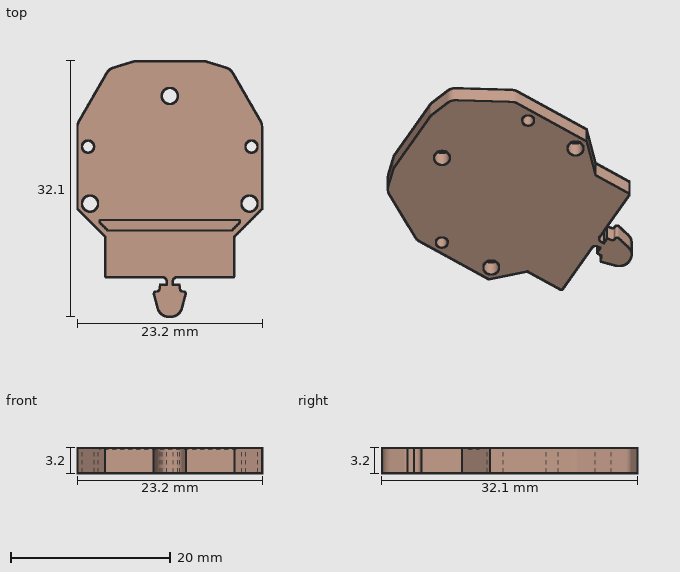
import cadquery as cq
import math

THICKNESS = 3.2
HALF_WIDTH = 11.6
PLATE_TOP = 27.13
TOP_HALF_WIDTH = 4.4
CROWN_HALF_WIDTH = 7.62
CROWN_ANGLE = 17.0
FLANK_ANGLE = 60.0
SIDE_BOTTOM = 8.6
TONGUE_HALF_WIDTH = 8.1
CROWN_RADIUS = 1.5
SIDE_RADIUS = 1.5
TONGUE_RADIUS = 0.2

STEM_HALF_WIDTH = 0.4
STEM_RADIUS = 0.5
COLLAR_TOP = -0.9
COLLAR_HALF_WIDTH = 1.22
SHOULDER_Y = -1.75
COLLAR_TAPER = 8.0
COLLAR_RADIUS = 0.3
SHOULDER_HALF_WIDTH = 2.1
SHOULDER_RADIUS = 0.3
PLUG_TIP = -4.97
PLUG_TAPER = 15.0
PLUG_TIP_RADIUS = 1.5

TOP_HOLE_Y = 22.75
TOP_HOLE_DIAMETER = 2.0
SMALL_HOLE_X = 10.25
SMALL_HOLE_Y = 16.4
SMALL_HOLE_DIAMETER = 1.5
LARGE_HOLE_X = 10.0
LARGE_HOLE_Y = 9.25
LARGE_HOLE_DIAMETER = 2.0

GROOVE_TOP = 7.2
GROOVE_BOTTOM = 5.85
GROOVE_HALF_WIDTH = 9.1
GROOVE_DEPTH = 0.2
GROOVE_RADIUS = 0.2


def symmetric_prism(right_side, height):
    """Extrude the outline made of right-hand points, top to bottom, and their mirror images."""
    left_side = [(-x, y) for x, y in reversed(right_side)]
    return cq.Workplane("XY").polyline(right_side + left_side).close().extrude(height)


def round_corners(body, corner, radius):
    """Round the upright edges at a corner point and at its mirror image."""
    x, y = corner
    reach = 0.01
    for side in (-1, 1):
        box = cq.selectors.BoxSelector(
            (side * x - reach, y - reach, -THICKNESS),
            (side * x + reach, y + reach, 2 * THICKNESS),
        )
        body = body.edges("|Z").edges(box).fillet(radius)
    return body


def make_body():
    crown_drop = (CROWN_HALF_WIDTH - TOP_HALF_WIDTH) * math.tan(math.radians(CROWN_ANGLE))
    flank_drop = (HALF_WIDTH - CROWN_HALF_WIDTH) * math.tan(math.radians(FLANK_ANGLE))
    crown_y = PLATE_TOP - crown_drop
    collar_spread = (COLLAR_TOP - SHOULDER_Y) * math.tan(math.radians(COLLAR_TAPER))
    plug_narrowing = (SHOULDER_Y - PLUG_TIP) * math.tan(math.radians(PLUG_TAPER))

    top_corner = (TOP_HALF_WIDTH, PLATE_TOP)
    crown_corner = (CROWN_HALF_WIDTH, crown_y)
    side_top = (HALF_WIDTH, crown_y - flank_drop)
    side_bottom = (HALF_WIDTH, SIDE_BOTTOM)
    tongue_top = (TONGUE_HALF_WIDTH, SIDE_BOTTOM - (HALF_WIDTH - TONGUE_HALF_WIDTH))
    tongue_bottom = (TONGUE_HALF_WIDTH, 0)
    stem_top = (STEM_HALF_WIDTH, 0)
    stem_bottom = (STEM_HALF_WIDTH, COLLAR_TOP)
    collar_top = (COLLAR_HALF_WIDTH, COLLAR_TOP)
    collar_bottom = (COLLAR_HALF_WIDTH + collar_spread, SHOULDER_Y)
    shoulder = (SHOULDER_HALF_WIDTH, SHOULDER_Y)
    plug_tip = (SHOULDER_HALF_WIDTH - plug_narrowing, PLUG_TIP)

    body = symmetric_prism(
        [
            top_corner,
            crown_corner,
            side_top,
            side_bottom,
            tongue_top,
            tongue_bottom,
            stem_top,
            stem_bottom,
            collar_top,
            collar_bottom,
            shoulder,
            plug_tip,
        ],
        THICKNESS,
    )
    rounded_corners = [
        (crown_corner, CROWN_RADIUS),
        (side_top, SIDE_RADIUS),
        (tongue_bottom, TONGUE_RADIUS),
        (stem_top, STEM_RADIUS),
        (collar_bottom, COLLAR_RADIUS),
        (shoulder, SHOULDER_RADIUS),
        (plug_tip, PLUG_TIP_RADIUS),
    ]
    for corner, radius in rounded_corners:
        body = round_corners(body, corner, radius)
    return body


def make_hole(x, y, diameter):
    return cq.Workplane("XY").center(x, y).circle(diameter / 2).extrude(THICKNESS)


def make_groove():
    upper_corner = (GROOVE_HALF_WIDTH, GROOVE_TOP)
    lower_corner = (GROOVE_HALF_WIDTH - (GROOVE_TOP - GROOVE_BOTTOM), GROOVE_BOTTOM)
    groove = symmetric_prism([upper_corner, lower_corner], GROOVE_DEPTH)
    groove = round_corners(groove, upper_corner, GROOVE_RADIUS)
    return groove.translate((0, 0, THICKNESS - GROOVE_DEPTH))


result = make_body().cut(make_groove())
result = result.cut(make_hole(0, TOP_HOLE_Y, TOP_HOLE_DIAMETER))
for side in (-1, 1):
    result = result.cut(make_hole(side * SMALL_HOLE_X, SMALL_HOLE_Y, SMALL_HOLE_DIAMETER))
    result = result.cut(make_hole(side * LARGE_HOLE_X, LARGE_HOLE_Y, LARGE_HOLE_DIAMETER))